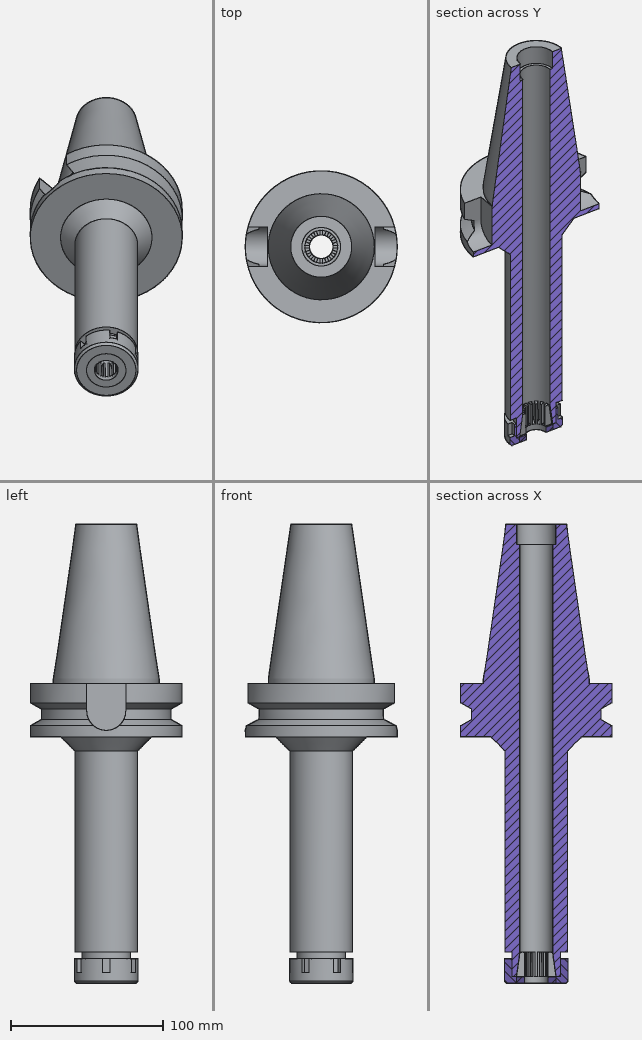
import cadquery as cq
import math

TOTAL_HEIGHT = 301.8

TAPER_LENGTH = 101.7
GAUGE_DIAMETER = 69.7
TAPER_RATIO = 7 / 24
GAUGE_GAP = 3.0

FLANGE_DIAMETER = 100.0
FLANGE_THICKNESS = 35.0
GROOVE_OFFSET = 12.7
GROOVE_MOUTH = 15.0
GROOVE_DEPTH = 7.2
GROOVE_FLANK_ANGLE = 30.0
SLOT_WIDTH = 25.7
SLOT_DEPTH = 30.8
SLOT_FLOOR = 35.3

COLLAR_DIAMETER = 60.0
BODY_DIAMETER = 41.3
SPIGOT_DIAMETER = 32.0

DRAWBAR_DIAMETER = 25.5
DRAWBAR_DEPTH = 13.3
BORE_DIAMETER = 21.5

NUT_DIAMETER = 42.0
NUT_HEIGHT = 16.3
NUT_CHAMFER = 1.5
NUT_GAP = 4.2
NUT_FACE_THICKNESS = 4.5
NOTCH_COUNT = 6
NOTCH_WIDTH = 5.0
NOTCH_HEIGHT = 9.0
NOTCH_DEPTH = 3.5

COLLET_BORE = 15.5
COLLET_NOSE_DIAMETER = 26.0
COLLET_TAPER_ANGLE = 8.0
SLIT_COUNT = 16
SLIT_WIDTH = 1.8

gauge_z = TOTAL_HEIGHT - TAPER_LENGTH
flange_top = gauge_z - GAUGE_GAP
flange_bottom = flange_top - FLANGE_THICKNESS
body_bottom = NUT_HEIGHT + NUT_GAP
collet_top = NUT_FACE_THICKNESS + (
    (COLLET_NOSE_DIAMETER - BORE_DIAMETER) / 2 / math.tan(math.radians(COLLET_TAPER_ANGLE))
)


def cylinder(diameter, bottom, top):
    return cq.Workplane("XY").workplane(offset=bottom).circle(diameter / 2).extrude(top - bottom)


def revolve_profile(points):
    """Turn a closed (radius, height) outline about the Z axis."""
    return cq.Workplane("XZ").polyline(points).close().revolve(360, (0, 0), (0, 1))


def holder_blank():
    tip_radius = (GAUGE_DIAMETER - TAPER_LENGTH * TAPER_RATIO) / 2
    gauge_radius = GAUGE_DIAMETER / 2
    flange_radius = FLANGE_DIAMETER / 2
    groove_radius = flange_radius - GROOVE_DEPTH
    flank_height = GROOVE_DEPTH * math.tan(math.radians(GROOVE_FLANK_ANGLE))
    groove_top = flange_top - GROOVE_OFFSET
    groove_bottom = groove_top - GROOVE_MOUTH
    collar_radius = COLLAR_DIAMETER / 2
    body_radius = BODY_DIAMETER / 2
    collar_bottom = flange_bottom - (collar_radius - body_radius)
    spigot_radius = SPIGOT_DIAMETER / 2
    return revolve_profile([
        (0, TOTAL_HEIGHT),
        (tip_radius, TOTAL_HEIGHT),
        (gauge_radius, gauge_z),
        (gauge_radius, flange_top),
        (flange_radius, flange_top),
        (flange_radius, groove_top),
        (groove_radius, groove_top - flank_height),
        (groove_radius, groove_bottom + flank_height),
        (flange_radius, groove_bottom),
        (flange_radius, flange_bottom),
        (collar_radius, flange_bottom),
        (body_radius, collar_bottom),
        (body_radius, body_bottom),
        (spigot_radius, body_bottom),
        (spigot_radius, NUT_FACE_THICKNESS),
        (0, NUT_FACE_THICKNESS),
    ])


def drive_slot(side):
    """Round-ended slot cutter on the +X (side = 1) or -X (side = -1) edge of the flange."""
    radius = SLOT_WIDTH / 2
    round_center_z = flange_top - SLOT_DEPTH + radius
    return (
        cq.Workplane("YZ", origin=(side * SLOT_FLOOR, 0, 0))
        .moveTo(-radius, flange_top)
        .lineTo(-radius, round_center_z)
        .threePointArc((0, round_center_z - radius), (radius, round_center_z))
        .lineTo(radius, flange_top)
        .close()
        .extrude(side * FLANGE_DIAMETER / 2)
    )


def collet_envelope():
    """Outside shape of the collet: a straight nose below a slim cone."""
    nose_radius = COLLET_NOSE_DIAMETER / 2
    return revolve_profile([
        (0, 0),
        (nose_radius, 0),
        (nose_radius, NUT_FACE_THICKNESS),
        (BORE_DIAMETER / 2, collet_top),
        (0, collet_top),
    ])


def make_holder():
    """Shank, flange and extension in one, bored through to a seat for the collet."""
    holder = holder_blank()
    for side in (-1, 1):
        holder = holder.cut(drive_slot(side))
    holder = holder.cut(cylinder(DRAWBAR_DIAMETER, TOTAL_HEIGHT - DRAWBAR_DEPTH, TOTAL_HEIGHT))
    holder = holder.cut(cylinder(BORE_DIAMETER, collet_top, TOTAL_HEIGHT))
    return holder.cut(collet_envelope())


def make_nut():
    """Nut around the spigot, with wrench notches in its upper rim."""
    nut = cylinder(NUT_DIAMETER, 0, NUT_HEIGHT).faces("<Z").chamfer(NUT_CHAMFER)
    nut = nut.cut(cylinder(SPIGOT_DIAMETER, NUT_FACE_THICKNESS, NUT_HEIGHT))
    nut = nut.cut(cylinder(COLLET_NOSE_DIAMETER, 0, NUT_FACE_THICKNESS))
    notch = cq.Workplane("XY").box(
        2 * NOTCH_DEPTH, NOTCH_WIDTH, NOTCH_HEIGHT, centered=(True, True, False)
    ).translate((NUT_DIAMETER / 2, 0, NUT_HEIGHT - NOTCH_HEIGHT))
    for index in range(NOTCH_COUNT):
        nut = nut.cut(notch.rotate((0, 0, 0), (0, 0, 1), index * 360 / NOTCH_COUNT))
    return nut


def make_collet():
    """Bored collet whose cone is slit from the top down to the nose."""
    collet = collet_envelope().cut(cylinder(COLLET_BORE, 0, collet_top))
    slit = cq.Workplane("XY").box(
        COLLET_NOSE_DIAMETER, SLIT_WIDTH, collet_top, centered=(False, True, False)
    ).translate((0, 0, NUT_FACE_THICKNESS))
    for index in range(SLIT_COUNT):
        collet = collet.cut(slit.rotate((0, 0, 0), (0, 0, 1), index * 360 / SLIT_COUNT))
    return collet


holder = make_holder()
nut = make_nut()
collet = make_collet()

result = cq.Compound.makeCompound([holder.val(), nut.val(), collet.val()])